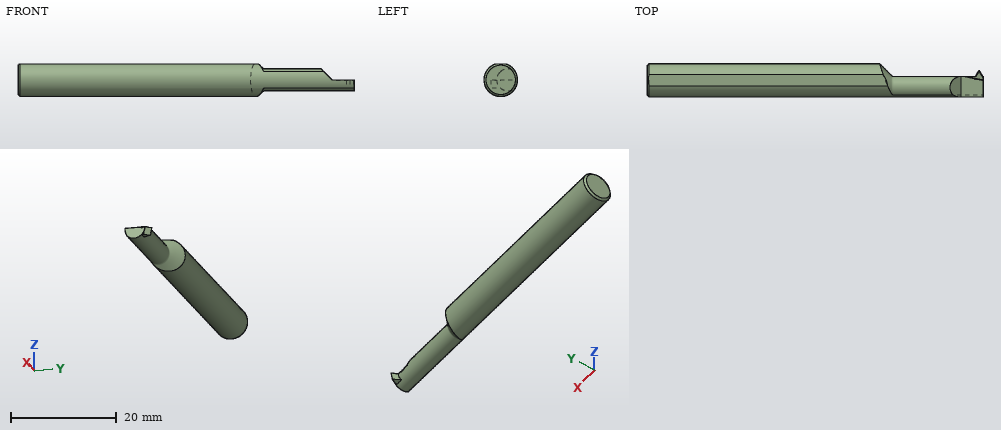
import cadquery as cq
import math


overall_length = 63.5
shank_radius = 3.175
shank_flat_z = 2.99
end_chamfer = 0.4

neck_radius = 2.1
neck_axis_y = -1.35

shoulder_start_x = 43.9
shoulder_angle = math.radians(45)
shoulder_fillet = 0.5
shoulder_outer_radius = shank_radius - neck_axis_y
shoulder_end_x = shoulder_start_x + (shoulder_outer_radius - neck_radius) / math.tan(shoulder_angle)

head_length = 4.2
head_start_x = overall_length - head_length
ramp_rise = 2 * shank_radius

tooth_crest_x = 62.68
tooth_crest_y = 1.9
tooth_crest_width = 0.08
tooth_half_angle = math.radians(30)
tooth_root_y = -0.4
tooth_height = 1.5
tooth_relief_angle = 6

groove_tip_y = -0.05
groove_angle = 12
groove_wall_width = 0.1
groove_depth = 0.14
rake_angle = math.radians(5)
groove_width = 4.0
groove_length = 8.0
groove_overrun = 2.0
groove_headroom = 1.0


def make_shank():
    shank = cq.Workplane("YZ").circle(shank_radius).extrude(overall_length)
    shank = shank.faces("<X").chamfer(end_chamfer)
    flat_cutter = (
        cq.Workplane("XY")
        .box(overall_length, 2 * shank_radius, shank_radius, centered=(False, True, False))
        .translate((0, 0, shank_flat_z))
    )
    return shank.cut(flat_cutter)


def make_neck_envelope():
    """Turned body about the neck axis: full size over the shank, then cone, fillet and neck."""
    half_turn = shoulder_angle / 2
    tangent_length = shoulder_fillet * math.tan(half_turn)
    tangent_step = tangent_length * math.cos(shoulder_angle)
    tangent_rise = tangent_length * math.sin(shoulder_angle)
    arc_middle_x = shoulder_end_x + tangent_length - shoulder_fillet * math.sin(half_turn)
    arc_middle_r = neck_radius + shoulder_fillet * (1 - math.cos(half_turn))
    profile = (
        cq.Workplane("XY")
        .moveTo(0, 0)
        .lineTo(0, shoulder_outer_radius)
        .lineTo(shoulder_start_x, shoulder_outer_radius)
        .lineTo(shoulder_end_x - tangent_step, neck_radius + tangent_rise)
        .threePointArc((arc_middle_x, arc_middle_r), (shoulder_end_x + tangent_length, neck_radius))
        .lineTo(overall_length, neck_radius)
        .lineTo(overall_length, 0)
        .close()
    )
    return profile.revolve(360, (0, 0, 0), (1, 0, 0)).translate((0, neck_axis_y, 0))


def make_head_cutter():
    return (
        cq.Workplane("XZ")
        .moveTo(head_start_x, 0)
        .lineTo(overall_length, 0)
        .lineTo(overall_length, ramp_rise)
        .lineTo(head_start_x - ramp_rise, ramp_rise)
        .close()
        .extrude(2 * shank_radius, both=True)
    )


def make_tooth():
    crest_start_x = tooth_crest_x - tooth_crest_width / 2
    crest_end_x = tooth_crest_x + tooth_crest_width / 2
    flank_run_per_rise = math.tan(tooth_half_angle)
    root_start_x = crest_start_x - (tooth_crest_y - tooth_root_y) * flank_run_per_rise
    end_face_y = tooth_crest_y - (overall_length - crest_end_x) / flank_run_per_rise
    return (
        cq.Workplane("XY")
        .moveTo(crest_start_x, tooth_crest_y)
        .lineTo(root_start_x, tooth_root_y)
        .lineTo(overall_length, tooth_root_y)
        .lineTo(overall_length, end_face_y)
        .lineTo(crest_end_x, tooth_crest_y)
        .close()
        .extrude(-tooth_height, taper=tooth_relief_angle)
    )


def make_rake_groove():
    """Shallow V groove: a steep wall at the flat, then a rake face rising toward the tooth crest."""
    rake_end_z = (groove_width - groove_wall_width) * math.tan(rake_angle) - groove_depth
    return (
        cq.Workplane("YZ")
        .moveTo(0, 0)
        .lineTo(groove_wall_width, -groove_depth)
        .lineTo(groove_width, rake_end_z)
        .lineTo(groove_width, groove_headroom)
        .lineTo(0, groove_headroom)
        .close()
        .extrude(groove_length)
        .translate((groove_overrun - groove_length, 0, 0))
        .rotate((0, 0, 0), (0, 0, 1), -groove_angle)
        .translate((overall_length, groove_tip_y, 0))
    )


body = make_shank().intersect(make_neck_envelope())
head = body.cut(make_head_cutter()).union(make_tooth())
result = head.cut(make_rake_groove())